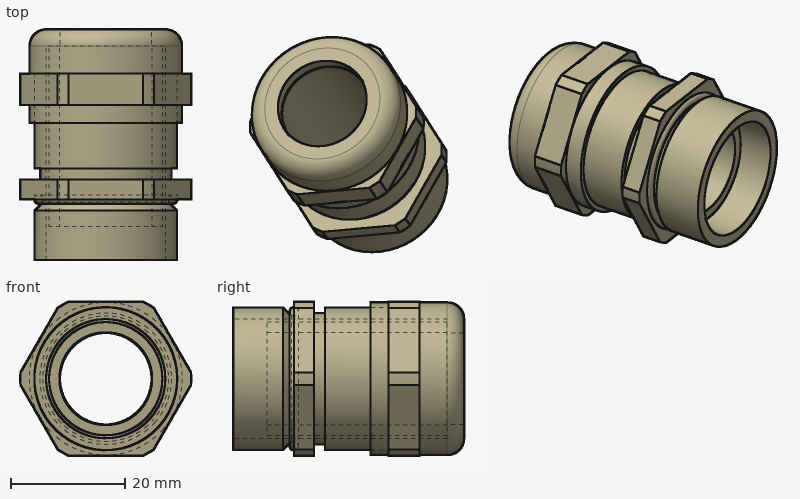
import cadquery as cq
import math

length = 40.5

hex_across_flats = 27.0
hex_corner_diameter = 30.0

thread_radius = 12.5
neck_radius = 11.55
bore_radius = 10.45
thread_length = 8.7
body_hex_front = 10.65
body_hex_back = 14.18
neck_back = 16.08
body_back = 32.7

ring_section_radius = 0.75
ring_outer_radius = 12.55
ring_center_radius = ring_outer_radius - ring_section_radius
ring_groove_radius = ring_center_radius - ring_section_radius
ring_groove_back = body_hex_front + ring_section_radius
thread_runout = thread_radius - ring_groove_radius

nut_radius = 13.4
nut_front = 24.05
nut_hex_front = 27.18
nut_hex_back = body_back
dome_radius = 3.0
opening_radius = 8.0
nut_wall_front = length - dome_radius

clamp_front = neck_back
seal_radius = 9.92
seal_bore_radius = 8.15
seal_front = 5.9


def cylinder(radius, start, end):
    """Solid cylinder on the Y axis between two Y positions."""
    return cq.Workplane("XZ", origin=(0, start, 0)).circle(radius).extrude(start - end)


def tube(outer_radius, inner_radius, start, end):
    """Plain tube on the Y axis between two Y positions."""
    return cylinder(outer_radius, start, end).cut(cylinder(inner_radius, start, end))


def wrench_hexagon(start, end):
    """Hexagonal prism on the Y axis with its six corners turned down to a circle."""
    hexagon = (
        cq.Workplane("XZ", origin=(0, start, 0))
        .polygon(6, hex_across_flats / math.cos(math.pi / 6))
        .extrude(start - end)
    )
    return hexagon.intersect(cylinder(hex_corner_diameter / 2, start, end))


def make_body():
    """Threaded body with undercut neck, hexagon, O-ring groove and through bore."""
    turned = (
        cq.Workplane("XY")
        .moveTo(0, 0)
        .lineTo(thread_radius, 0)
        .lineTo(thread_radius, thread_length)
        .lineTo(ring_groove_radius, thread_length + thread_runout)
        .lineTo(ring_groove_radius, body_hex_front)
        .lineTo(neck_radius, body_hex_front)
        .lineTo(neck_radius, neck_back)
        .lineTo(thread_radius, neck_back)
        .lineTo(thread_radius, body_back)
        .lineTo(0, body_back)
        .close()
        .revolve(360, (0, 0, 0), (0, 1, 0))
    )
    hexagon = wrench_hexagon(body_hex_front, body_hex_back)
    ring_recess = tube(ring_outer_radius, ring_groove_radius, body_hex_front, ring_groove_back)
    return turned.union(hexagon).cut(ring_recess).cut(cylinder(bore_radius, 0, body_back))


def make_o_ring():
    """Round-section ring in the groove at the hexagon."""
    return (
        cq.Workplane("XY")
        .center(ring_center_radius, body_hex_front)
        .circle(ring_section_radius)
        .revolve(360, (-ring_center_radius, 0, 0), (-ring_center_radius, 1, 0))
    )


def make_nut():
    """Dome nut with hexagon, thread bore, clamp seat and cable opening."""
    dome = cylinder(nut_radius, nut_front, length).faces(">Y").edges().fillet(dome_radius)
    nut = dome.union(wrench_hexagon(nut_hex_front, nut_hex_back))
    nut = nut.cut(cylinder(thread_radius, nut_front, body_back))
    nut = nut.cut(cylinder(bore_radius, body_back, nut_wall_front))
    return nut.cut(cylinder(opening_radius, nut_wall_front, length))


body = make_body()
o_ring = make_o_ring()
nut = make_nut()
clamp = tube(bore_radius, seal_radius, clamp_front, nut_wall_front)
seal = tube(seal_radius, seal_bore_radius, seal_front, nut_wall_front)

result = cq.Compound.makeCompound([body.val(), o_ring.val(), nut.val(), clamp.val(), seal.val()])